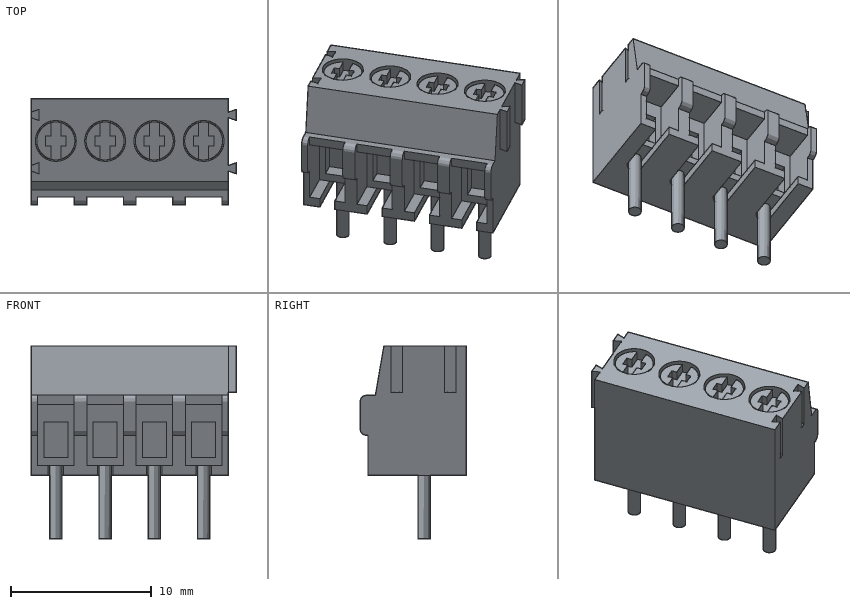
import cadquery as cq


poles = 4
pitch = 3.5
length = poles * pitch
height = 9.2
back_y = 3.0
front_y = -4.0
top_front_y = -2.87
slope_foot_y = -3.47
ledge_z = 5.7
nose_y = -4.55
nose_bottom_z = 2.85
nose_radius = 0.45

opening_width = 2.6
opening_floor_z = 0.7
opening_ceiling_z = 5.05
opening_back_y = -1.5
wire_hole_width = 1.7
wire_hole_bottom_z = 1.28
wire_hole_height = 2.5
wire_hole_depth = 1.0

pin_diameter = 0.9
pin_length = 4.5
pin_slot_width = 1.1

screw_hole_diameter = 2.9
screw_hole_depth = 1.5
screw_diameter = 2.7
screw_recess = 0.2
drive_width = 0.7
drive_short_length = 1.46
drive_depth = 0.7

dovetail_centers_y = (1.85, -1.94)
dovetail_depth = 0.57
dovetail_neck = 0.4
dovetail_wide = 0.8
dovetail_length = 3.3

pole_centers_x = [pitch * (index + 0.5) for index in range(poles)]


def box(x_range, y_range, z_range):
    """Axis-aligned box given by its limits along X, Y and Z."""
    sizes = [end - start for start, end in (x_range, y_range, z_range)]
    corner = (x_range[0], y_range[0], z_range[0])
    return cq.Workplane("XY").box(*sizes, centered=False).translate(corner)


def centered_span(center, width):
    return (center - width / 2, center + width / 2)


def make_housing():
    """Side profile extruded along X, with the nose edges rounded."""
    profile = [
        (back_y, 0),
        (front_y, 0),
        (front_y, nose_bottom_z),
        (nose_y, nose_bottom_z),
        (nose_y, ledge_z),
        (slope_foot_y, ledge_z),
        (top_front_y, height),
        (back_y, height),
    ]
    housing = cq.Workplane("YZ").polyline(profile).close().extrude(length)
    return housing.faces("<Y").edges("|X").fillet(nose_radius)


def dovetail(face_x, center_y):
    """Prism that widens from its neck at face_x toward +X, down from the top."""
    wide_x = face_x + dovetail_depth
    neck_start, neck_end = centered_span(center_y, dovetail_neck)
    wide_start, wide_end = centered_span(center_y, dovetail_wide)
    outline = [
        (face_x, neck_start),
        (wide_x, wide_start),
        (wide_x, wide_end),
        (face_x, neck_end),
    ]
    return (
        cq.Workplane("XY", origin=(0, 0, height))
        .polyline(outline)
        .close()
        .extrude(-dovetail_length)
    )


def wire_opening(center_x):
    """Cutter for one wire opening, its wire hole and the nose in front of it."""
    opening_x = centered_span(center_x, opening_width)
    chamber = box(opening_x, (nose_y, opening_back_y), (opening_floor_z, opening_ceiling_z))
    nose_gap = box(opening_x, (nose_y, front_y), (opening_floor_z, ledge_z))
    wire_hole = box(
        centered_span(center_x, wire_hole_width),
        (opening_back_y, opening_back_y + wire_hole_depth),
        (wire_hole_bottom_z, wire_hole_bottom_z + wire_hole_height),
    )
    return chamber.union(nose_gap).union(wire_hole)


def pin_slot(center_x):
    """Cutter for the floor slot that runs from the front and ends round the pin."""
    straight = box(centered_span(center_x, pin_slot_width), (front_y, 0), (0, opening_floor_z))
    round_end = (
        cq.Workplane("XY")
        .center(center_x, 0)
        .circle(pin_slot_width / 2)
        .extrude(opening_floor_z)
    )
    return straight.union(round_end)


def pin(center_x):
    return (
        cq.Workplane("XY", origin=(center_x, 0, -pin_length))
        .circle(pin_diameter / 2)
        .extrude(pin_length + opening_floor_z)
    )


def screw_hole(center_x):
    return (
        cq.Workplane("XY", origin=(center_x, 0, height))
        .circle(screw_hole_diameter / 2)
        .extrude(-screw_hole_depth)
    )


def screw(center_x):
    """Screw head standing on the floor of its hole, with a cross drive recess."""
    head_z = height - screw_recess
    head = (
        cq.Workplane("XY", origin=(center_x, 0, height - screw_hole_depth))
        .circle(screw_diameter / 2)
        .extrude(screw_hole_depth - screw_recess)
    )
    long_slot = (
        cq.Workplane("XY", origin=(center_x, 0, head_z))
        .rect(drive_width, screw_diameter)
        .extrude(-drive_depth)
    )
    short_slot = (
        cq.Workplane("XY", origin=(center_x, 0, head_z))
        .rect(drive_short_length, drive_width)
        .extrude(-drive_depth)
    )
    return head.cut(long_slot).cut(short_slot)


block = make_housing()

for dovetail_y in dovetail_centers_y:
    block = block.cut(dovetail(0, dovetail_y))
    block = block.union(dovetail(length, dovetail_y))

for pole_x in pole_centers_x:
    block = block.cut(wire_opening(pole_x))
    block = block.cut(pin_slot(pole_x))
    block = block.union(pin(pole_x))
    block = block.cut(screw_hole(pole_x))
    block = block.union(screw(pole_x))

result = block